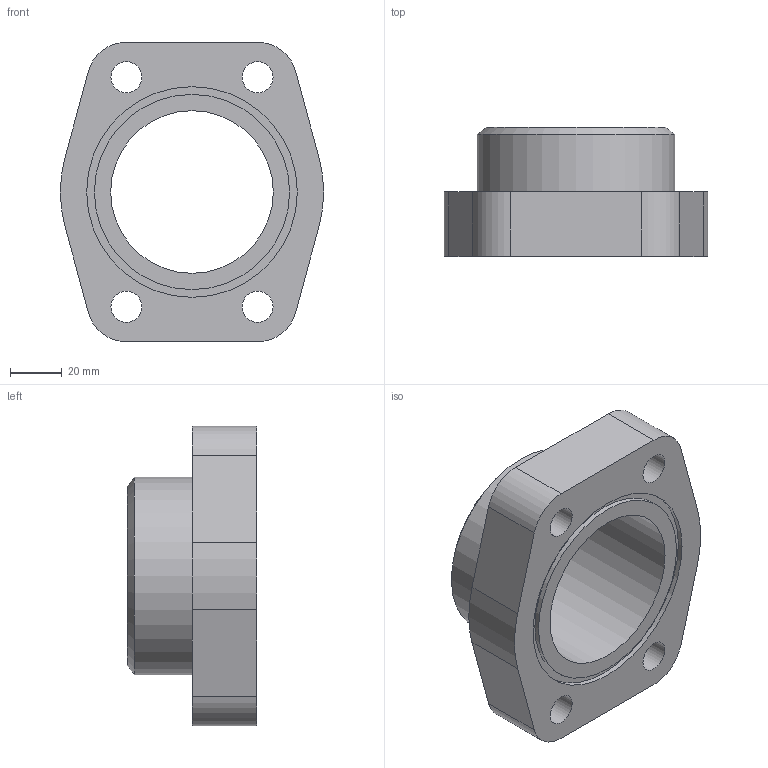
import cadquery as cq
import math

flange_width = 102.0
flange_height = 116.0
flange_thickness = 25.0
corner_radius = 15.3
side_radius = 50.0

bolt_pitch_x = 50.8
bolt_pitch_z = 88.9
bolt_hole_diameter = 12.0

overall_length = 50.0
neck_diameter = 76.5
bevel_length = 2.7
bevel_depth = 3.5
bore_diameter = 63.0

groove_outer_diameter = 81.6
groove_inner_diameter = 75.6
groove_depth = 2.0


def flange_plate():
    """Plate with four rounded corners and bulged sides, joined by tangent flats."""
    corner_x = bolt_pitch_x / 2
    corner_z = flange_height / 2 - corner_radius
    side_x = flange_width / 2 - side_radius

    span_x = corner_x - side_x
    center_distance = math.hypot(span_x, corner_z)
    center_angle = math.atan2(corner_z, span_x)
    flat_angle = center_angle - math.acos((side_radius - corner_radius) / center_distance)
    corner_mid_angle = (flat_angle + math.pi / 2) / 2

    def on_corner(angle):
        x = corner_x + corner_radius * math.cos(angle)
        z = corner_z + corner_radius * math.sin(angle)
        return x, z

    side_end_x = side_x + side_radius * math.cos(flat_angle)
    side_end_z = side_radius * math.sin(flat_angle)
    mid_x, mid_z = on_corner(corner_mid_angle)
    end_x, end_z = on_corner(flat_angle)
    top_z = flange_height / 2

    return (
        cq.Workplane("XZ")
        .moveTo(-corner_x, top_z)
        .lineTo(corner_x, top_z)
        .threePointArc((mid_x, mid_z), (end_x, end_z))
        .lineTo(side_end_x, side_end_z)
        .threePointArc((flange_width / 2, 0), (side_end_x, -side_end_z))
        .lineTo(end_x, -end_z)
        .threePointArc((mid_x, -mid_z), (corner_x, -top_z))
        .lineTo(-corner_x, -top_z)
        .threePointArc((-mid_x, -mid_z), (-end_x, -end_z))
        .lineTo(-side_end_x, -side_end_z)
        .threePointArc((-flange_width / 2, 0), (-side_end_x, side_end_z))
        .lineTo(-end_x, end_z)
        .threePointArc((-mid_x, mid_z), (-corner_x, top_z))
        .close()
        .extrude(-flange_thickness)
    )


def weld_neck():
    """Solid neck of revolution about Y, running from the front face to the bevelled end."""
    neck_radius = neck_diameter / 2
    profile = [
        (0, 0),
        (neck_radius, 0),
        (neck_radius, overall_length - bevel_length),
        (neck_radius - bevel_depth, overall_length),
        (0, overall_length),
    ]
    return cq.Workplane("XY").polyline(profile).close().revolve(360, (0, 0, 0), (0, 1, 0))


def bore():
    return cq.Workplane("XZ").circle(bore_diameter / 2).extrude(-overall_length)


def bolt_holes():
    return (
        cq.Workplane("XZ")
        .rect(bolt_pitch_x, bolt_pitch_z, forConstruction=True)
        .vertices()
        .circle(bolt_hole_diameter / 2)
        .extrude(-flange_thickness)
    )


def seal_groove():
    return (
        cq.Workplane("XZ")
        .circle(groove_outer_diameter / 2)
        .circle(groove_inner_diameter / 2)
        .extrude(-groove_depth)
    )


body = flange_plate().union(weld_neck())
result = body.cut(bore()).cut(bolt_holes()).cut(seal_groove())